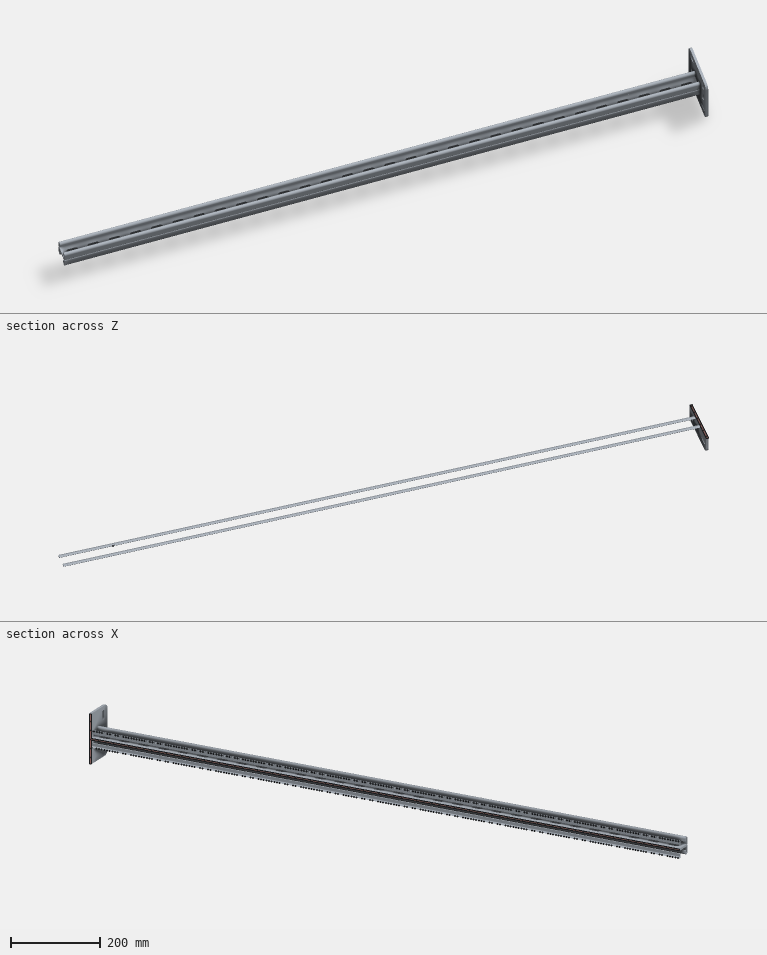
import cadquery as cq
import math

total_length = 1506.0
plate_size = 120.0
plate_thickness = 6.0
plate_corner_radius = 12.0
rail_length = total_length - plate_thickness

rail_height = 42.0
sheet = 2.5
web_flat = 36.0
web_bend_radius = sheet
rim_radius = 5.0
rim_flat = 0.8
lip_depth = 10.0
rail_width = web_flat + 2 * web_bend_radius
rim_width = rim_flat + 2 * rim_radius

web_slot_count = 30
web_slot_pitch = rail_length / web_slot_count
web_slot_length = 27.0
web_slot_width = 10.0

plate_slot_length = 23.0
plate_slot_width = 9.0
slot_column = 40.0
slot_offset = 39.0


def fold(profile, centre, radius, start, end):
    """Add a quarter bend about centre, running from the start angle to the end angle in degrees."""
    points = []
    for degrees in ((start + end) / 2, end):
        angle = math.radians(degrees)
        points.append((centre[0] + radius * math.cos(angle), centre[1] + radius * math.sin(angle)))
    return profile.threePointArc(*points)


def half_channel():
    """Right half of the upper channel: half the web on Z = 0, one side wall and its inward lip."""
    side = rail_width / 2
    crest = rail_height / 2
    lip_face = side - rim_width
    lip_end = crest - lip_depth
    web_bend = (side - web_bend_radius, web_bend_radius)
    outer_bend = (side - rim_radius, crest - rim_radius)
    lip_bend = (lip_face + rim_radius, crest - rim_radius)
    inner_rim_radius = rim_radius - sheet

    profile = cq.Workplane("XZ").moveTo(0, 0).lineTo(web_bend[0], 0)
    profile = fold(profile, web_bend, web_bend_radius, -90, 0)
    profile = profile.lineTo(side, outer_bend[1])
    profile = fold(profile, outer_bend, rim_radius, 0, 90)
    profile = profile.lineTo(lip_bend[0], crest)
    profile = fold(profile, lip_bend, rim_radius, 90, 180)
    profile = profile.lineTo(lip_face, lip_end).lineTo(lip_face + sheet, lip_end)
    profile = profile.lineTo(lip_face + sheet, lip_bend[1])
    profile = fold(profile, lip_bend, inner_rim_radius, 180, 90)
    profile = profile.lineTo(outer_bend[0], crest - sheet)
    profile = fold(profile, outer_bend, inner_rim_radius, 90, 0)
    profile = profile.lineTo(side - sheet, sheet).lineTo(0, sheet)
    return profile.close().extrude(-rail_length)


def make_rail():
    """H-shaped rail with its open end at Y = 0 and a row of slots through the double web."""
    right_half = half_channel()
    upper = right_half.union(right_half.mirror("YZ"))
    lower = upper.mirror("XY")
    slots = (
        cq.Workplane("XY")
        .center(0, rail_length / 2)
        .rarray(15, web_slot_pitch, 1, web_slot_count)
        .slot2D(web_slot_length, web_slot_width, 90)
        .extrude(sheet, both=True)
    )
    return upper.union(lower).cut(slots)


def make_plate():
    """Rounded square end plate with two side slots and four corner slots."""
    plate = (
        cq.Workplane("XZ", origin=(0, rail_length, 0))
        .rect(plate_size, plate_size)
        .extrude(-plate_thickness)
        .edges("|Y")
        .fillet(plate_corner_radius)
    )
    upright = [
        (-slot_column, 0),
        (slot_column, 0),
        (-slot_column, -slot_offset),
        (slot_column, slot_offset),
    ]
    level = [(-slot_offset, slot_column), (slot_offset, -slot_column)]
    for places, angle in ((upright, 90), (level, 0)):
        slots = (
            cq.Workplane("XZ", origin=(0, rail_length, 0))
            .pushPoints(places)
            .slot2D(plate_slot_length, plate_slot_width, angle)
            .extrude(-plate_thickness)
        )
        plate = plate.cut(slots)
    return plate


result = make_rail().union(make_plate())